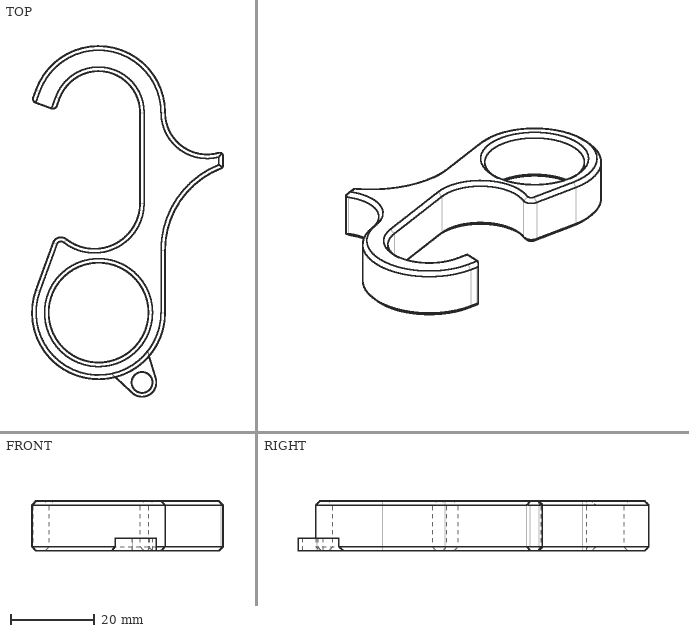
import cadquery as cq
import math

thickness = 12.0
edge_chamfer = 1.0
coincidence_limit = 0.1
outer_radius = 16.0
ring_bore_radius = 12.0
hook_y = 48.1
hook_inner_radius = 9.95

mouth_angle = 20.0
mouth_straight = 2.95
mouth_corner_radius = 1.0
throat_radius = 11.0
throat_bottom_y = 15.35
lip_radius = 2.0

spur_tip_x = 29.95
spur_top_radius = 10.0
spur_bottom_radius = 21.1
spur_bottom_start_y = 15.0
spur_corner_radius = 0.85

lug_x = 10.5
lug_y = -16.8
lug_radius = 3.5
lug_hole_diameter = 5.0
lug_thickness = 3.0
lug_half_angle = 15.0
lug_flank_length = 6.75


def polar(center, radius, degrees):
    angle = math.radians(degrees)
    return (center[0] + radius * math.cos(angle), center[1] + radius * math.sin(angle))


def circle_x(radius, y_offset):
    """Half-width of a circle at a given distance from its centre line."""
    return math.sqrt(radius**2 - y_offset**2)


def angle_of(center, point):
    return math.degrees(math.atan2(point[1] - center[1], point[0] - center[0]))


ring_center = (0, 0)
hook_center = (0, hook_y)
throat_center = (hook_inner_radius - throat_radius, throat_bottom_y + throat_radius)
spur_top_center = (outer_radius + spur_top_radius, hook_y)
spur_bottom_center = (outer_radius + spur_bottom_radius, spur_bottom_start_y)


def mouth_corner(radius):
    """End of the straight run that leaves a hook arc along its tangent."""
    return polar(polar(hook_center, radius, 180 - mouth_angle), mouth_straight, 270 - mouth_angle)


def lip_corner():
    """Point where the ring's left flank runs into the throat arc."""
    lean = math.radians(mouth_angle)
    start = polar(ring_center, outer_radius, 180 - mouth_angle)
    direction = (math.sin(lean), math.cos(lean))
    dx = start[0] - throat_center[0]
    dy = start[1] - throat_center[1]
    along = dx * direction[0] + dy * direction[1]
    reach = -along - math.sqrt(along**2 - dx**2 - dy**2 + throat_radius**2)
    return (start[0] + reach * direction[0], start[1] + reach * direction[1])


def round_corner(solid, point, radius):
    nearest = cq.selectors.NearestToPointSelector((point[0], point[1], thickness / 2))
    return solid.edges("|Z").edges(nearest).fillet(radius)


def make_body():
    flank_start = polar(ring_center, outer_radius, 180 - mouth_angle)
    lip = lip_corner()
    throat_middle = angle_of(throat_center, lip) / 2
    outer_end = mouth_corner(outer_radius)
    inner_end = mouth_corner(hook_inner_radius)
    spur_top_y = hook_y - circle_x(spur_top_radius, spur_tip_x - spur_top_center[0])
    spur_top = (spur_tip_x, spur_top_y)
    spur_bottom_y = spur_bottom_start_y + circle_x(
        spur_bottom_radius, spur_bottom_center[0] - spur_tip_x
    )
    spur_bottom = (spur_tip_x, spur_bottom_y)
    spur_top_middle = (180 + angle_of(spur_top_center, spur_top) + 360) / 2
    spur_bottom_middle = (180 + angle_of(spur_bottom_center, spur_bottom)) / 2

    body = (
        cq.Workplane("XY")
        .moveTo(*flank_start)
        .lineTo(*lip)
        .threePointArc(
            polar(throat_center, throat_radius, throat_middle),
            (hook_inner_radius, throat_center[1]),
        )
        .lineTo(hook_inner_radius, hook_y)
        .threePointArc(
            (0, hook_y + hook_inner_radius),
            polar(hook_center, hook_inner_radius, 180 - mouth_angle),
        )
        .lineTo(*inner_end)
        .lineTo(*outer_end)
        .lineTo(*polar(hook_center, outer_radius, 180 - mouth_angle))
        .threePointArc((0, hook_y + outer_radius), (outer_radius, hook_y))
        .threePointArc(polar(spur_top_center, spur_top_radius, spur_top_middle), spur_top)
        .lineTo(*spur_bottom)
        .threePointArc(
            polar(spur_bottom_center, spur_bottom_radius, spur_bottom_middle),
            (outer_radius, spur_bottom_start_y),
        )
        .lineTo(outer_radius, 0)
        .threePointArc((0, -outer_radius), flank_start)
        .close()
        .extrude(thickness)
    )

    body = round_corner(body, lip, lip_radius)
    rounded_body = body
    for corner in (outer_end, inner_end):
        rounded_body = round_corner(rounded_body, corner, mouth_corner_radius)
    for corner in (spur_top, spur_bottom):
        rounded_body = round_corner(rounded_body, corner, spur_corner_radius)

    bore = cq.Workplane("XY").circle(ring_bore_radius).extrude(thickness)
    rims = body.cut(bore).faces("<Z or >Z").edges()
    end_x = (outer_end[0] + inner_end[0]) / 2
    end_y = (outer_end[1] + inner_end[1]) / 2
    for z in (0, thickness):
        end_rim = cq.Vector(end_x, end_y, z)
        rims = rims.filter(
            lambda edge, end_rim=end_rim: (edge.Center() - end_rim).Length > coincidence_limit
        )
    chamfered_body = rims.chamfer(edge_chamfer)

    return chamfered_body.intersect(rounded_body)


def make_lug():
    lug_center = (lug_x, lug_y)
    axis = angle_of(ring_center, lug_center)
    tip = polar(lug_center, lug_radius, axis)
    right_side = 90 - lug_half_angle
    tangents = [polar(lug_center, lug_radius, axis + side * right_side) for side in (1, -1)]
    roots = [
        polar(tangents[0], lug_flank_length, axis + 180 - lug_half_angle),
        polar(tangents[1], lug_flank_length, axis + 180 + lug_half_angle),
    ]
    lug = (
        cq.Workplane("XY")
        .moveTo(*roots[0])
        .lineTo(*tangents[0])
        .threePointArc(tip, tangents[1])
        .lineTo(*roots[1])
        .close()
        .extrude(lug_thickness)
    )
    bore = cq.Workplane("XY").circle(ring_bore_radius + edge_chamfer).extrude(lug_thickness)
    hole = cq.Workplane("XY").center(*lug_center).circle(lug_hole_diameter / 2).extrude(lug_thickness)
    return lug.cut(bore).cut(hole)


result = make_body().union(make_lug())